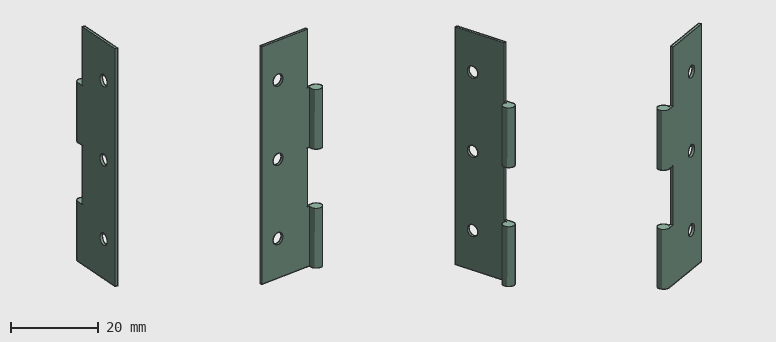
import cadquery as cq

height = 60.0
width = 17.5
thickness = 0.7
knuckle_diameter = 3.0
knuckle_length = 15.1
knuckle_pitch = height / 2
knuckle_count = 2
plate_inset = 3.4
hole_diameter = 3.0
hole_edge_distance = 5.0
hole_count = 3

knuckle_radius = knuckle_diameter / 2
front_y = -knuckle_radius
left_x = -knuckle_radius
right_x = left_x + width
plate_left_x = left_x + plate_inset
hole_x = right_x - hole_edge_distance
hole_pitch = height / hole_count


def box_from(x, y, z, size_x, size_y, size_z):
    """Box with its lowest corner at (x, y, z)."""
    return cq.Workplane("XY").box(size_x, size_y, size_z, centered=False).translate((x, y, z))


def knuckle(bottom_z):
    """Solid barrel with a flat web joining it to the plate."""
    barrel = cq.Workplane("XY").workplane(offset=bottom_z).circle(knuckle_radius).extrude(knuckle_length)
    web = box_from(0, front_y, bottom_z, plate_left_x, thickness, knuckle_length)
    return barrel.union(web)


leaf = box_from(plate_left_x, front_y, 0, right_x - plate_left_x, thickness, height)

for index in range(knuckle_count):
    leaf = leaf.union(knuckle(index * knuckle_pitch))

hole_points = [(hole_x, (index + 0.5) * hole_pitch) for index in range(hole_count)]
holes = (
    cq.Workplane("XZ", origin=(0, front_y, 0))
    .pushPoints(hole_points)
    .circle(hole_diameter / 2)
    .extrude(-thickness)
)

result = leaf.cut(holes).clean()